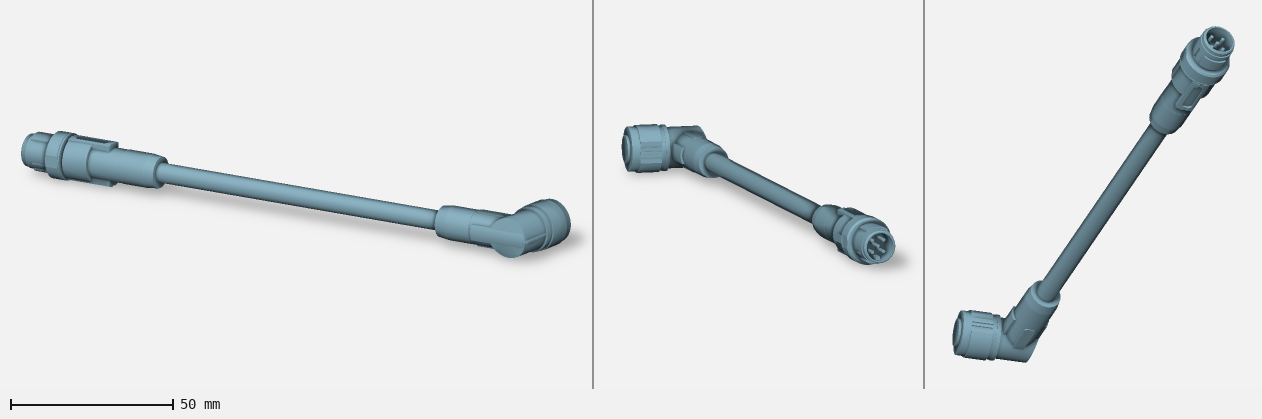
import cadquery as cq
import math

LENGTH = 183.0
WIDTH = 26.4

SHELL_RADIUS = 5.5
TIP_RADIUS = 5.1
TIP_LENGTH = 1.8
TIP_CHAMFER = 0.4
NUT_START = 9.5
NUT_END = 14.1
NUT_RADIUS = 14.8 / 2
NUT_CHAMFER = 0.5
NUT_FLAT_WIDTH = 3.8
FLANGE_START = 14.3
FLANGE_END = 14.8
NECK_RADIUS = 5.0
BODY_START = 15.5
BODY_END = 24.0
BODY_RADIUS = 6.5

THREAD_RADIUS = 6.0
THREAD_WIDTH = 7.0
TOP_THREAD = (2.7, 8.8)
BOTTOM_THREAD = (3.8, 8.2)

NOTCH_START = 3.8
NOTCH_END = 8.8
NOTCH_TOP = -1.6
NOTCH_DEPTH_Y = 4.8

CAVITY_RADIUS = 4.4
CAVITY_DEPTH = 8.2
PIN_RADIUS = 0.5
PIN_START = 1.8
PIN_OFFSET = 1.8
KEY_WIDTH = 1.3
KEY_HEIGHT = 1.1

HOLDER_END = 30.2
HOLDER_RADIUS = 14.1 / 2
HOLDER_WIDTH = 5.5
WINDOW_LENGTH = 11.7
WINDOW_WIDTH = 3.3
WINDOW_CHAMFER = 1.0
WINDOW_FLOOR = 6.2
END_SLOT_WIDTH = 1.0
END_SLOT_FLOOR = 6.8

RIB_END = 22.0
RIB_WIDTH = 2.4
RIB_TOP = 7.1

SLEEVE_RADIUS = 5.3
CUFF_RADIUS = 10.8 / 2
CUFF_END = 6.6
SLEEVE_END_RADIUS = 5.0
SLEEVE_TAPER = 1.9
PLUG_SLEEVE_END = 46.9
SOCKET_SLEEVE_START = 146.8
CABLE_RADIUS = 3.1

SOCKET_TILT = math.radians(8)
SOCKET_NUT_RADIUS = NUT_RADIUS
SOCKET_RIM_RADIUS = 7.0
SOCKET_RIM_LENGTH = 2.5
SOCKET_NUT_LENGTH = 9.3
COLLAR_GROOVE_RADIUS = 7.0
COLLAR_GROOVE_END = 10.6
COLLAR_RADIUS = 7.1
COLLAR_END = 11.9
ELBOW_RADIUS = 6.4
ELBOW_LENGTH = 27.5
INSERT_RADIUS = 4.4
INSERT_HEIGHT = 1.0

FACE_X = LENGTH - SOCKET_NUT_RADIUS * math.cos(SOCKET_TILT) + SOCKET_RIM_LENGTH * math.sin(SOCKET_TILT)
INSERT_REACH = INSERT_HEIGHT * math.cos(SOCKET_TILT) + INSERT_RADIUS * math.sin(SOCKET_TILT)
FACE_Y = WIDTH - NUT_RADIUS - INSERT_REACH

GRIP_FLAT = 6.5
GRIP_STEP_FLAT = 7.0
GRIP_STEP_WIDTH = 3.0
GRIP_RIDGE_WIDTH = 0.7

ROOF_Y = -6.0
ROOF_SLOPE = 0.2
RIDGE_END = 178.5
FIN_WIDTH = 0.5
FIN_Y = -6.2
FIN_CORNER_X = 180.5
FIN_TOP_X = 181.4
FIN_TOP_Y = 5.1

RIDGE_RADIUS = 6.0
RIDGE_WIDTH = 5.1
PAD_START = 160.0
PAD_END = 172.0
FLAT_PAD_START = 159.5
FLAT_PAD_WIDTH = 3.3
FLAT_PAD_Z = 5.5
FLAT_PAD_CHAMFER = 0.7


def rod(start, end, radius):
    """Cylinder on the X axis from start to end."""
    return cq.Workplane("YZ", origin=(start, 0, 0)).circle(radius).extrude(end - start)


def block(x_range, y_range, z_range):
    """Box given by its limits along X, Y and Z."""
    (x0, x1), (y0, y1), (z0, z1) = x_range, y_range, z_range
    return cq.Workplane("XY").box(x1 - x0, y1 - y0, z1 - z0, centered=False).translate((x0, y0, z0))


def sector(x_range, radius, width, side):
    """Strip of a cylinder, limited to a width along Y, on the upper (1) or lower (-1) side."""
    z_range = (0, radius) if side > 0 else (-radius, 0)
    strip = block(x_range, (-width / 2, width / 2), z_range)
    return rod(x_range[0], x_range[1], radius).intersect(strip)


def threaded_shell():
    """Solid plug shell with its tip, flank notches and two thread segments."""
    tip = rod(0, TIP_LENGTH, TIP_RADIUS).faces("<X").chamfer(TIP_CHAMFER)
    shell = tip.union(rod(TIP_LENGTH, NUT_START, SHELL_RADIUS))
    for side in (1, -1):
        flank = sorted((side * NOTCH_DEPTH_Y, side * NUT_RADIUS))
        shell = shell.cut(block((NOTCH_START, NOTCH_END), flank, (-SHELL_RADIUS, NOTCH_TOP)))
    shell = shell.union(sector(TOP_THREAD, THREAD_RADIUS, THREAD_WIDTH, 1))
    return shell.union(sector(BOTTOM_THREAD, THREAD_RADIUS, THREAD_WIDTH, -1))


def contact_cavity(shell):
    """Hollows the shell from its open end and adds the key and the five contact pins."""
    shell = shell.cut(rod(0, CAVITY_DEPTH, CAVITY_RADIUS))
    key_bottom = -(CAVITY_RADIUS + TIP_RADIUS) / 2
    key_top = KEY_HEIGHT - CAVITY_RADIUS
    half_key = KEY_WIDTH / 2
    shell = shell.union(block((PIN_START, CAVITY_DEPTH), (-half_key, half_key), (key_bottom, key_top)))
    corners = [(y, z) for y in (-PIN_OFFSET, PIN_OFFSET) for z in (-PIN_OFFSET, PIN_OFFSET)]
    pins = (
        cq.Workplane("YZ", origin=(PIN_START, 0, 0))
        .pushPoints(corners + [(0, 0)])
        .circle(PIN_RADIUS)
        .extrude(NUT_START - PIN_START)
    )
    return shell.union(pins)


def plug_nut():
    """Nut with flats on +Y and -Y, followed by a thin round flange."""
    nut = rod(NUT_START, NUT_END, NUT_RADIUS).faces("<X").chamfer(NUT_CHAMFER)
    flat_y = math.sqrt(NUT_RADIUS**2 - (NUT_FLAT_WIDTH / 2) ** 2)
    nut = nut.intersect(block((NUT_START, NUT_END), (-flat_y, flat_y), (-NUT_RADIUS, NUT_RADIUS)))
    return nut.union(rod(FLANGE_START, FLANGE_END, NUT_RADIUS))


def marker_holder(side):
    """Curved strip, and the eight-sided window and narrow end slots to cut into it."""
    holder = sector((BODY_START, HOLDER_END), HOLDER_RADIUS, HOLDER_WIDTH, side)
    middle = (BODY_START + HOLDER_END) / 2
    window = (
        cq.Workplane("XY", origin=(middle, 0, side * WINDOW_FLOOR))
        .rect(WINDOW_LENGTH, WINDOW_WIDTH)
        .extrude(side * HOLDER_RADIUS)
        .edges("|Z")
        .chamfer(WINDOW_CHAMFER)
    )
    slot = (
        cq.Workplane("XY", origin=(middle, 0, side * END_SLOT_FLOOR))
        .rect(HOLDER_END - BODY_START, END_SLOT_WIDTH)
        .extrude(side * HOLDER_RADIUS)
    )
    return holder, window.union(slot)


def plug_body():
    """Neck and round body with the marker holders and the coding rib."""
    body = rod(NUT_START, BODY_START, NECK_RADIUS).union(rod(BODY_START, BODY_END, BODY_RADIUS))
    for side in (1, -1):
        holder, opening = marker_holder(side)
        body = body.union(holder).cut(opening)
    half_rib = RIB_WIDTH / 2
    return body.union(block((BODY_START, RIB_END), (0, RIB_TOP), (-half_rib, half_rib)))


def sleeve(cable_end, inner_end):
    """Round sleeve with a slightly thicker cuff that tapers towards the end where the cable leaves it."""
    direction = math.copysign(1.8, inner_end - cable_end)
    taper_end = cable_end + direction * SLEEVE_TAPER
    cuff_end = cable_end + direction * CUFF_END
    profile = [
        (cable_end, 0),
        (cable_end, SLEEVE_END_RADIUS),
        (taper_end, CUFF_RADIUS),
        (cuff_end, CUFF_RADIUS),
        (cuff_end, SLEEVE_RADIUS),
        (inner_end, SLEEVE_RADIUS),
        (inner_end, 0),
    ]
    return cq.Workplane("XY").polyline(profile).close().revolve(360, (0, 0, 0), (1, 0, 0))


def tilt(shape):
    """Moves a shape built along Y, with the mating face at Y = 0, onto the tilted socket axis."""
    return shape.rotate((0, 0, 0), (0, 0, 1), -math.degrees(SOCKET_TILT)).translate((FACE_X, FACE_Y, 0))


def socket_nut():
    """Turned nut, insert and collar, with a stepped grip cut into the -X side."""
    profile = [
        (0, INSERT_HEIGHT),
        (INSERT_RADIUS, INSERT_HEIGHT),
        (INSERT_RADIUS, 0),
        (SOCKET_RIM_RADIUS, 0),
        (SOCKET_RIM_RADIUS, -SOCKET_RIM_LENGTH),
        (SOCKET_NUT_RADIUS, -SOCKET_RIM_LENGTH),
        (SOCKET_NUT_RADIUS, -SOCKET_NUT_LENGTH),
        (COLLAR_GROOVE_RADIUS, -SOCKET_NUT_LENGTH),
        (COLLAR_GROOVE_RADIUS, -COLLAR_GROOVE_END),
        (COLLAR_RADIUS, -COLLAR_GROOVE_END),
        (COLLAR_RADIUS, -COLLAR_END),
        (0, -COLLAR_END),
    ]
    nut = cq.Workplane("XY").polyline(profile).close().revolve(360, (0, 0, 0), (0, 1, 0))
    grip_length = (-SOCKET_NUT_LENGTH, -SOCKET_RIM_LENGTH)
    reach = -SOCKET_NUT_RADIUS
    grip_steps = (
        (GRIP_FLAT, GRIP_STEP_WIDTH / 2, SOCKET_NUT_RADIUS),
        (GRIP_STEP_FLAT, GRIP_RIDGE_WIDTH / 2, GRIP_STEP_WIDTH / 2),
    )
    for depth, near, far in grip_steps:
        for z_range in ((near, far), (-far, -near)):
            nut = nut.cut(block((reach, -depth), grip_length, z_range))
    return tilt(nut)


def elbow():
    """Tilted cylinder cut off on its -Y end by a shallow roof, with a ridge and a fin along Z = 0."""
    barrel = tilt(cq.Workplane("XZ").circle(ELBOW_RADIUS).extrude(ELBOW_LENGTH))
    eave_z = SOCKET_NUT_RADIUS
    eave_y = ROOF_Y + ROOF_SLOPE * eave_z
    roof = (
        cq.Workplane("YZ", origin=(PAD_START, 0, 0))
        .polyline([(ROOF_Y, 0), (eave_y, eave_z), (FACE_Y, eave_z), (FACE_Y, -eave_z), (eave_y, -eave_z)])
        .close()
        .extrude(LENGTH - PAD_START)
    )
    fin_outline = [
        (PAD_START, FIN_Y),
        (FIN_CORNER_X, FIN_Y),
        (FIN_TOP_X, FIN_TOP_Y),
        (PAD_END, FIN_TOP_Y),
        (PAD_END, 0),
        (PAD_START, 0),
    ]
    fin = cq.Workplane("XY").polyline(fin_outline).close().extrude(FIN_WIDTH / 2, both=True)
    half_ridge = RIDGE_WIDTH / 2
    ridge = rod(PAD_START, RIDGE_END, RIDGE_RADIUS)
    ridge = ridge.intersect(block((PAD_START, RIDGE_END), (-RIDGE_RADIUS, 0), (-half_ridge, half_ridge)))
    return barrel.intersect(roof).union(ridge).union(fin)


def sleeve_pads():
    """Flat pads above and below the sleeve and a curved ridge on its +Y side."""
    half_ridge = RIDGE_WIDTH / 2
    ridge = rod(PAD_START, PAD_END, RIDGE_RADIUS)
    ridge = ridge.intersect(block((PAD_START, PAD_END), (0, RIDGE_RADIUS), (-half_ridge, half_ridge)))
    half_flat = FLAT_PAD_WIDTH / 2
    flats = block((FLAT_PAD_START, PAD_END), (-half_flat, half_flat), (-FLAT_PAD_Z, FLAT_PAD_Z))
    return ridge.union(flats.edges("|Z and <X").chamfer(FLAT_PAD_CHAMFER))


plug = contact_cavity(threaded_shell()).union(plug_nut()).union(plug_body())
plug = plug.union(sleeve(PLUG_SLEEVE_END, BODY_START))
cable = rod(PLUG_SLEEVE_END, SOCKET_SLEEVE_START, CABLE_RADIUS)
socket = sleeve(SOCKET_SLEEVE_START, PAD_END).union(sleeve_pads()).union(elbow()).union(socket_nut())
result = plug.union(cable).union(socket)